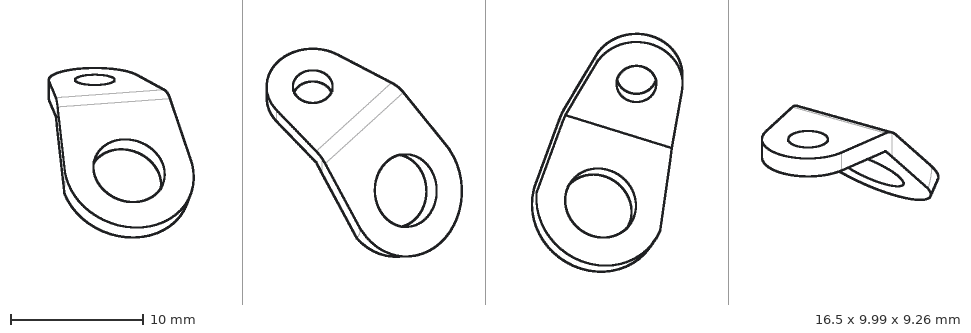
import cadquery as cq
import math

total_length = 16.52
thickness = 1.5
bend_angle = math.radians(45)

tab_radius = 3.5
tab_hole_diameter = 3.0
tab_side_angle = math.asin(1 / 6)
side_knee_x = 4.85

flap_radius = 4.997
flap_hole_diameter = 5.5
flap_hole_distance = 5.98

sin_bend = math.sin(bend_angle)
cos_bend = math.cos(bend_angle)

flap_length = flap_hole_distance + flap_radius
flap_reach = flap_length * cos_bend + thickness * sin_bend
bend_x = total_length - tab_radius - flap_reach
end_x = total_length - tab_radius


def bend_point(along, above):
    """XZ point at a distance along the flap and above its lower face."""
    x = bend_x + along * cos_bend + above * sin_bend
    z = -thickness - along * sin_bend + above * cos_bend
    return x, z


def bent_strip():
    half_bend = bend_angle / 2
    arc_middle = (
        bend_x + thickness * math.sin(half_bend),
        -thickness + thickness * math.cos(half_bend),
    )
    return (
        cq.Workplane("XZ")
        .moveTo(-tab_radius, -thickness)
        .lineTo(-tab_radius, 0)
        .lineTo(bend_x, 0)
        .threePointArc(arc_middle, bend_point(0, thickness))
        .lineTo(*bend_point(flap_length, thickness))
        .lineTo(*bend_point(flap_length, 0))
        .lineTo(bend_x, -thickness)
        .close()
        .extrude(flap_radius, both=True)
    )


def side_wall_prism():
    """Vertical walls, tangent to the tab end and to the flap's upper rim."""
    tab_x = -tab_radius * math.sin(tab_side_angle)
    tab_y = tab_radius * math.cos(tab_side_angle)
    knee_y = (tab_radius + side_knee_x * math.sin(tab_side_angle)) / math.cos(tab_side_angle)

    rim_x = bend_point(flap_hole_distance, thickness)[0]
    knee_along = (side_knee_x - rim_x) / cos_bend
    knee_distance = math.hypot(knee_along, knee_y)
    tangent_angle = math.atan2(knee_y, knee_along) - math.acos(flap_radius / knee_distance)
    rim_tangent_x = rim_x + flap_radius * math.cos(tangent_angle) * cos_bend
    rim_tangent_y = flap_radius * math.sin(tangent_angle)

    wall_slope = (rim_tangent_y - knee_y) / (rim_tangent_x - side_knee_x)
    full_width_x = rim_tangent_x + (flap_radius - rim_tangent_y) / wall_slope
    height = -bend_point(flap_length, 0)[1]
    return (
        cq.Workplane("XY")
        .moveTo(tab_x, -tab_y)
        .threePointArc((-tab_radius, 0), (tab_x, tab_y))
        .lineTo(side_knee_x, knee_y)
        .lineTo(full_width_x, flap_radius)
        .lineTo(end_x, flap_radius)
        .lineTo(end_x, -flap_radius)
        .lineTo(full_width_x, -flap_radius)
        .lineTo(side_knee_x, -knee_y)
        .close()
        .extrude(-height)
    )


def flap_plane():
    x, z = bend_point(flap_hole_distance, 0)
    return cq.Plane(origin=(x, 0, z), xDir=(cos_bend, 0, -sin_bend), normal=(sin_bend, 0, cos_bend))


def flap_end_waste():
    """Material of the square flap end that lies outside its round end."""
    corner_block = (
        cq.Workplane(flap_plane())
        .center(flap_radius / 2, 0)
        .rect(flap_radius, 2 * flap_radius)
        .extrude(thickness)
    )
    return corner_block.cut(cq.Workplane(flap_plane()).circle(flap_radius).extrude(thickness))


def holes():
    tab_hole = cq.Workplane("XY").circle(tab_hole_diameter / 2).extrude(-thickness)
    flap_hole = cq.Workplane(flap_plane()).circle(flap_hole_diameter / 2).extrude(thickness)
    return tab_hole.union(flap_hole)


result = bent_strip().intersect(side_wall_prism()).cut(flap_end_waste()).cut(holes())